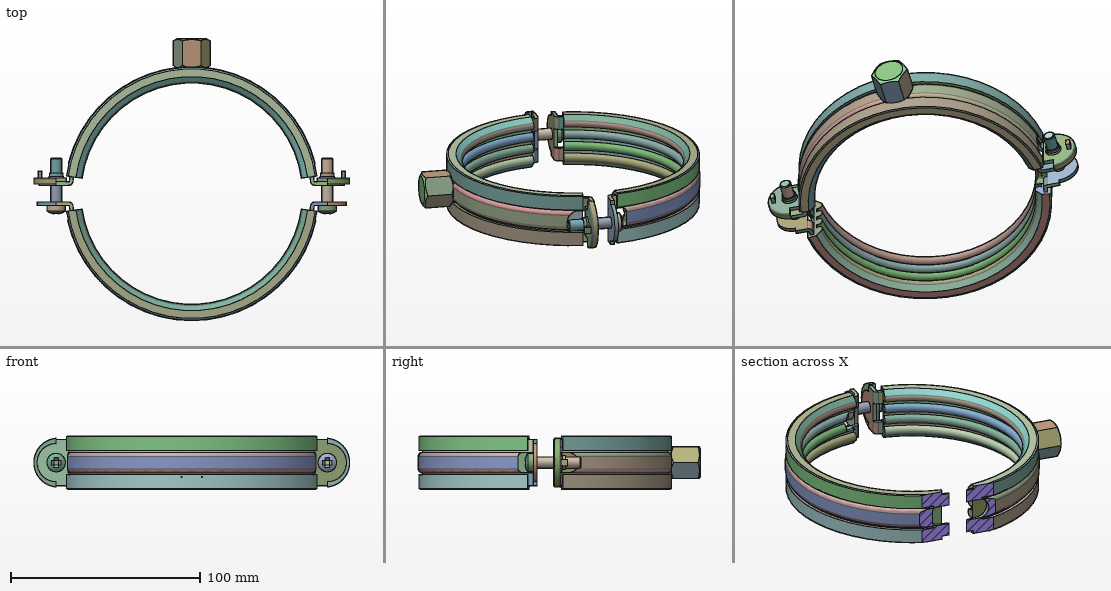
import cadquery as cq
import math


LINER_HEIGHT = 28.2
LIP_OUTER_R = 66.9
LIP_GAP_HALF = 6.3
LIP_BEVEL_WIDTH = 0.9
LIP_BEVEL_HEIGHT = 0.3
LINER_INNER_R = 61.8
END_ANGLE = 8.0
BEAD_TIP_R = 58.5
BEAD_RADIUS = 2.3
BEAD_PITCH = 6.5
BEAD_COUNT = 4

BAND_OUTER_R = 65.1
BAND_THICKNESS = 2.0
BAND_INNER_R = BAND_OUTER_R - BAND_THICKNESS
BAND_WIDTH = 24.7
RIB_OUTER_R = 67.2
RIB_FLAT_HALF = 3.3
RIB_BASE_HALF = RIB_FLAT_HALF + RIB_OUTER_R - BAND_OUTER_R

GAP_HALF = 4.3
FLANGE_BACK = GAP_HALF + BAND_THICKNESS
BEND_OUTER_RADIUS = 2.4
BEND_INNER_RADIUS = 0.4
BEND_START_X = 65.2
SCREW_X = 71.7
LOWER_TAB_R = 10.1
UPPER_TAB_R = 9.0

WINDOW_HALF = 5.3
UPPER_WINDOW_END = 17.6
LOWER_WINDOW_END = 14.4
LOWER_WINDOW_ROUND = 2.4

WASHER_TIP_X = 83.55
WASHER_R = 13.0
WASHER_X = WASHER_TIP_X - WASHER_R
WASHER_BOTTOM = 5.0
WASHER_TOP = 8.35
WASHER_EDGE_ROUND = 0.5
CLIP_END_X = 66.3
CLIP_HALF = 8.0
COLLAR_TOP = 10.8
COLLAR_STEP = 9.2
COLLAR_R = 7.3 / 2
COLLAR_BASE_R = 8.38 / 2
PIN_X = 80.3
PIN_LENGTH_X = 2.0
PIN_WIDTH = 3.5
PIN_TOP = 11.9
PIN_RECESS_DEPTH = 0.7

SCREW_R = 6.0 / 2
SCREW_TIP = 18.8
SCREW_CHAMFER = 0.5
HEAD_R = 9.8 / 2
HEAD_SIDE = 2.8
HEAD_HEIGHT = 4.6
CROSS_LENGTH = 6.0
CROSS_WIDTH = 2.3
CROSS_DEPTH = 2.2

NUT_FLATS = 17.0
NUT_CORNER_R = NUT_FLATS / math.sqrt(3)
NUT_TOP = 82.05
NUT_BOTTOM = 66.6
NUT_ROOT = 64.5
NUT_TOP_R = 7.5
NUT_BOTTOM_R = 8.4
NUT_CHAMFER = 1.25


def box(x0, x1, y0, y1, half_height):
    """Box between two X and two Y limits, centred on Z = 0."""
    return (
        cq.Workplane("XY")
        .box(x1 - x0, y1 - y0, 2 * half_height)
        .translate(((x0 + x1) / 2, (y0 + y1) / 2, 0))
    )


def disc(x, radius, y0, y1):
    """Cylinder along Y, centred on Z = 0."""
    return (
        cq.Workplane("XZ", origin=(x, y0, 0))
        .circle(radius)
        .extrude(y0 - y1)
    )


def turn_about_y(points, x=0):
    """Body of revolution about a Y-parallel axis from (radius, Y) points."""
    turned = cq.Workplane("XY").polyline(points).close().revolve(360, (0, 0, 0), (0, 1, 0))
    return turned.translate((x, 0, 0))


def around_ring(section):
    """Sweep an (R, Z) section through the upper half of the ring."""
    sweep = 180 - 2 * END_ANGLE
    return section.revolve(sweep, (0, 0, 0), (0, -1, 0)).rotate((0, 0, 0), (0, 0, 1), 180 - END_ANGLE)


def bore():
    """Space inside the steel band."""
    return cq.Workplane("XY").circle(BAND_INNER_R).extrude(LINER_HEIGHT, both=True)


def half_ring():
    """Upper half of the lined band: lips, central rib and inner sealing beads."""
    top = LINER_HEIGHT / 2
    bead_r = BEAD_TIP_R + BEAD_RADIUS
    outer_bead = BEAD_PITCH * (BEAD_COUNT - 1) / 2
    slope_end = outer_bead + BEAD_RADIUS * math.sin(math.radians(45))
    slope_end_r = bead_r - BEAD_RADIUS * math.cos(math.radians(45))
    mid_round = math.sin(math.radians(45))
    rib_round = RIB_OUTER_R - BAND_OUTER_R

    def side(sign):
        """One lip side of the section, as a closed half from Z = 0."""
        def at(r, z):
            return (r, sign * z)

        section = (
            cq.Workplane("XZ")
            .moveTo(*at(LINER_INNER_R, 0))
            .lineTo(*at(RIB_OUTER_R, 0))
            .lineTo(*at(RIB_OUTER_R, RIB_FLAT_HALF))
            .threePointArc(
                at(BAND_OUTER_R + rib_round * mid_round, RIB_FLAT_HALF + rib_round * mid_round),
                at(BAND_OUTER_R, RIB_BASE_HALF),
            )
            .lineTo(*at(BAND_OUTER_R, LIP_GAP_HALF))
            .lineTo(*at(LIP_OUTER_R, LIP_GAP_HALF))
            .lineTo(*at(LIP_OUTER_R, top - LIP_BEVEL_HEIGHT))
            .lineTo(*at(LIP_OUTER_R - LIP_BEVEL_WIDTH, top))
            .lineTo(*at(slope_end_r + top - slope_end, top))
            .lineTo(*at(slope_end_r, slope_end))
            .lineTo(*at(LINER_INNER_R, outer_bead))
            .close()
        )
        return around_ring(section)

    ring = side(1).union(side(-1))
    for i in range(BEAD_COUNT):
        z = i * BEAD_PITCH - outer_bead
        ring = ring.union(around_ring(cq.Workplane("XZ").moveTo(bead_r, z).circle(BEAD_RADIUS)))
    return ring


def flange(tab_r):
    """Band end on the +Y side of the gap at -X: bend, wide flange and round tab."""
    lap = BAND_OUTER_R * math.sin(math.radians(END_ANGLE)) + 1.0
    arc = (
        cq.Workplane("XY")
        .circle(BAND_OUTER_R)
        .circle(BAND_INNER_R)
        .extrude(BAND_WIDTH / 2, both=True)
        .intersect(box(-BAND_OUTER_R, 0, GAP_HALF, lap, BAND_WIDTH))
    )
    corner_x = -math.sqrt(BAND_INNER_R**2 - GAP_HALF**2)
    plate = box(-SCREW_X, -BAND_OUTER_R + 1, GAP_HALF, FLANGE_BACK, BAND_WIDTH / 2)
    bent = arc.union(plate.cut(bore()))
    bent = bent.edges(cq.selectors.NearestToPointSelector((corner_x, GAP_HALF, 0))).fillet(BEND_OUTER_RADIUS)
    root_x = -math.sqrt(BAND_OUTER_R**2 - FLANGE_BACK**2)
    bent = bent.edges(cq.selectors.NearestToPointSelector((root_x, FLANGE_BACK, 0))).fillet(BEND_INNER_RADIUS)
    bend_window = box(-BEND_START_X, 0, 0, lap + 1, WINDOW_HALF)
    tab = disc(-SCREW_X, tab_r, GAP_HALF, FLANGE_BACK).cut(box(-SCREW_X, 0, 0, FLANGE_BACK, tab_r))
    return bent.cut(bend_window).union(tab)


def upper_window():
    """Round-ended window through the band only, leaving the liner behind it."""
    centre = UPPER_WINDOW_END - WINDOW_HALF
    tool = box(-RIB_OUTER_R - 1, 0, FLANGE_BACK, centre, WINDOW_HALF)
    end = cq.Workplane("YZ").center(centre, 0).circle(WINDOW_HALF).extrude(-RIB_OUTER_R - 1)
    return tool.union(end).cut(bore())


def lower_window():
    """Round-cornered driver window, on the +Y side before the lower half is mirrored."""
    tool = box(-RIB_OUTER_R - 1, -BEAD_TIP_R / 2, FLANGE_BACK, LOWER_WINDOW_END, WINDOW_HALF)
    return tool.edges("|X and >Y").fillet(LOWER_WINDOW_ROUND)


def washer():
    """Half-round retaining washer with clip block, collar and locking pin."""
    rim = disc(-WASHER_X, WASHER_R, WASHER_BOTTOM, WASHER_TOP).faces(">Y").edges().fillet(WASHER_EDGE_ROUND)
    rim = rim.intersect(box(-WASHER_TIP_X, -SCREW_X, 0, WASHER_TOP, WASHER_R))
    clip = box(-SCREW_X, -CLIP_END_X, FLANGE_BACK, WASHER_TOP, CLIP_HALF)
    collar = turn_about_y(
        [
            (0, FLANGE_BACK),
            (COLLAR_BASE_R, FLANGE_BACK),
            (COLLAR_BASE_R, WASHER_TOP),
            (COLLAR_R, COLLAR_STEP),
            (COLLAR_R, COLLAR_TOP),
            (0, COLLAR_TOP),
        ],
        -SCREW_X,
    )
    pin_ends = (-PIN_X - PIN_LENGTH_X / 2, -PIN_X + PIN_LENGTH_X / 2)
    pin = box(*pin_ends, FLANGE_BACK, PIN_TOP, PIN_WIDTH / 2)
    recess = box(*pin_ends, 0, WASHER_BOTTOM + PIN_RECESS_DEPTH, PIN_WIDTH / 2)
    return rim.cut(recess).union(clip).union(collar).union(pin)


def screw():
    """Clamping screw along Y with a domed cross-recess head under the lower flange."""
    seat = -FLANGE_BACK
    rim = seat - HEAD_SIDE
    crown = seat - HEAD_HEIGHT
    dome_r = (HEAD_R**2 + (rim - crown)**2) / (2 * (rim - crown))
    mid_r = HEAD_R / 2
    mid_y = crown + dome_r - math.sqrt(dome_r**2 - mid_r**2)
    body = (
        cq.Workplane("XY")
        .moveTo(0, crown)
        .threePointArc((mid_r, mid_y), (HEAD_R, rim))
        .lineTo(HEAD_R, seat)
        .lineTo(SCREW_R, seat)
        .lineTo(SCREW_R, SCREW_TIP - SCREW_CHAMFER)
        .lineTo(SCREW_R - SCREW_CHAMFER, SCREW_TIP)
        .lineTo(0, SCREW_TIP)
        .close()
        .revolve(360, (0, 0, 0), (0, 1, 0))
    )
    arm = (
        cq.Workplane("XY")
        .moveTo(-CROSS_LENGTH / 2, crown)
        .lineTo(CROSS_LENGTH / 2, crown)
        .lineTo(CROSS_WIDTH / 2, crown + CROSS_DEPTH)
        .lineTo(-CROSS_WIDTH / 2, crown + CROSS_DEPTH)
        .close()
        .extrude(CROSS_WIDTH / 2, both=True)
    )
    crossed = arm.union(arm.rotate((0, 0, 0), (0, 1, 0), 90))
    return body.cut(crossed).translate((-SCREW_X, 0, 0))


def nut():
    """Hexagonal nut along Y with corners on X, chamfered at both ends."""
    hexagon = (
        cq.Workplane("XZ", origin=(0, NUT_ROOT, 0))
        .polygon(6, 2 * NUT_CORNER_R)
        .extrude(NUT_ROOT - NUT_TOP)
    )
    envelope = turn_about_y(
        [
            (0, NUT_ROOT),
            (NUT_BOTTOM_R, NUT_ROOT),
            (NUT_BOTTOM_R, NUT_BOTTOM),
            (NUT_CORNER_R, NUT_BOTTOM + NUT_CHAMFER),
            (NUT_CORNER_R, NUT_TOP - NUT_CHAMFER),
            (NUT_TOP_R, NUT_TOP),
            (0, NUT_TOP),
        ]
    )
    return hexagon.intersect(envelope)


def both_sides(body):
    """Union of a -X body and its +X mirror image."""
    return body.union(body.mirror("YZ"))


upper = half_ring().cut(both_sides(upper_window())).union(both_sides(flange(UPPER_TAB_R)))

lower = half_ring().cut(lower_window()).cut(lower_window().cut(bore()).mirror("YZ"))
lower = lower.union(both_sides(flange(LOWER_TAB_R)))
lower = lower.mirror("XZ")

result = upper.union(nut()).union(lower).union(both_sides(washer().union(screw())))